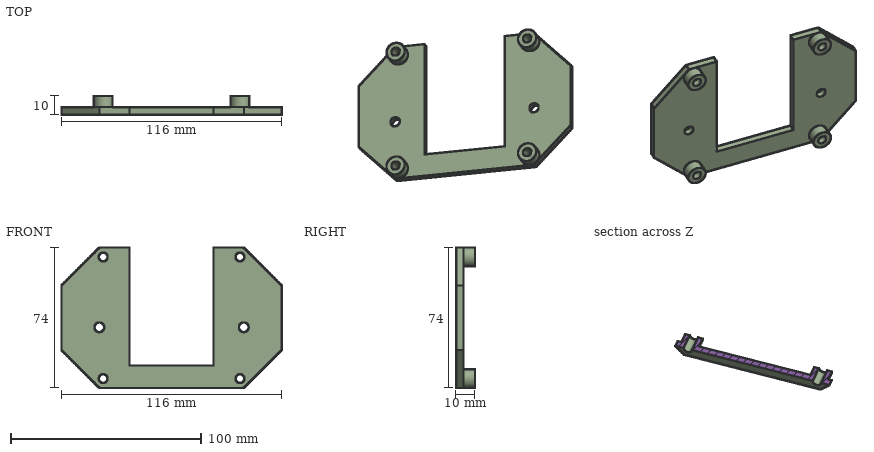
import cadquery as cq

plate_width = 116.0
plate_height = 74.0
plate_thickness = 4.0
corner_cut = 20.0

notch_width = 44.0
bottom_web_height = 12.0

standoff_diameter = 10.0
standoff_height = 6.0
standoff_hole_diameter = 4.5
standoff_x = 36.0
standoff_z = (plate_height - standoff_diameter) / 2

side_hole_diameter = 5.0
side_hole_x = 38.0
side_hole_z = -5.0

overall_depth = plate_thickness + standoff_height
standoff_points = [(sx * standoff_x, sz * standoff_z) for sx in (-1, 1) for sz in (-1, 1)]
side_hole_points = [(sx * side_hole_x, side_hole_z) for sx in (-1, 1)]


def cylinders(points, diameter, start_y, length):
    """Cylinders along +Y from start_y, at the given (x, z) points."""
    plane = cq.Workplane("XZ", origin=(0, start_y, 0))
    return plane.pushPoints(points).circle(diameter / 2).extrude(-length)


def make_plate():
    """Octagonal plate with the notch cut down from its top edge."""
    plate = (
        cq.Workplane("XZ")
        .rect(plate_width, plate_height)
        .extrude(-plate_thickness)
        .edges("|Y")
        .chamfer(corner_cut)
    )
    notch = (
        cq.Workplane("XZ")
        .center(0, bottom_web_height)
        .rect(notch_width, plate_height)
        .extrude(-plate_thickness)
    )
    return plate.cut(notch)


result = (
    make_plate()
    .union(cylinders(standoff_points, standoff_diameter, plate_thickness, standoff_height))
    .cut(cylinders(standoff_points, standoff_hole_diameter, 0, overall_depth))
    .cut(cylinders(side_hole_points, side_hole_diameter, 0, plate_thickness))
)